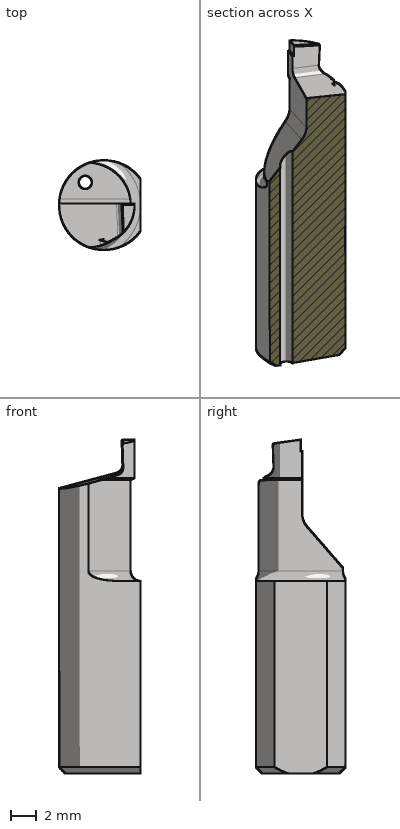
import cadquery as cq
import math

SHANK_DIA = 7.0
SHANK_R = SHANK_DIA / 2
FLAT_X = 2.85
SHANK_CHAMFER = 0.5
TOTAL_HEIGHT = 26.0

NECK_AXIS_X = -1.2
NECK_R = math.sqrt(SHANK_R**2 - NECK_AXIS_X**2)
NECK_FILLET_R = FLAT_X - NECK_AXIS_X - NECK_R
SHOULDER_Z = 15.0

FACE_Y = 0.12
RAMP_START_Z = 19.66
RAMP_ANGLE = 41.0
RAMP_FILLET_R = 1.5

HEAD_AXIS_X = -0.63
HEAD_R = 3.02
HEAD_Z = 23.0
HEAD_CONE_HEIGHT = 0.15
HEAD_CONE_WIDTH = 0.3
NECK_TOP_Z = HEAD_Z - HEAD_CONE_HEIGHT
TIP_FACE_Y = 0.0
TIP_FACE_Z = 25.1
TOP_RELIEF_ANGLE = 8.0
TIP_CHAMFER = 0.1

WALL_X = 1.45
FLOOR_Z = 23.54
FLOOR_ANGLE = 15.0
WALL_LEAN = 2.0
CORNER_R = 0.6
WALL_SIDE_RELIEF = 2.0
FLOOR_SIDE_RELIEF = 3.75

HOLE_DIA = 1.0
HOLE_X = -1.45
HOLE_Y = 1.77

MARGIN = 4.0


def tan_deg(angle):
    return math.tan(math.radians(angle))


def box_between(low, high):
    """Axis-aligned box given two opposite corners."""
    size = [b - a for a, b in zip(low, high)]
    return cq.Workplane("XY").box(*size, centered=False).translate(low)


def make_shank():
    """Full-height round bar with the end chamfer and the side flat."""
    bar = cq.Workplane("XY").circle(SHANK_R).extrude(TOTAL_HEIGHT)
    bar = bar.faces("<Z").chamfer(SHANK_CHAMFER)
    beyond_flat = box_between(
        (FLAT_X, -SHANK_DIA, -MARGIN),
        (FLAT_X + MARGIN, SHANK_DIA, TOTAL_HEIGHT + MARGIN),
    )
    return bar.cut(beyond_flat)


def neck_relief():
    """Half ring around the neck axis, with the root fillet at its lower inner edge."""
    outer_r = NECK_R + MARGIN
    top = TOTAL_HEIGHT + MARGIN
    diagonal = NECK_FILLET_R * (1 - math.sqrt(0.5))
    profile = (
        cq.Workplane("XZ", origin=(NECK_AXIS_X, 0, 0))
        .moveTo(NECK_R, top)
        .lineTo(NECK_R, SHOULDER_Z + NECK_FILLET_R)
        .threePointArc(
            (NECK_R + diagonal, SHOULDER_Z + diagonal),
            (NECK_R + NECK_FILLET_R, SHOULDER_Z),
        )
        .lineTo(outer_r, SHOULDER_Z)
        .lineTo(outer_r, top)
        .close()
    )
    ring = profile.revolve(360, (0, 0, 0), (0, 1, 0))
    plus_x_half = box_between((NECK_AXIS_X, -2 * outer_r, 0), (NECK_AXIS_X + outer_r, 2 * outer_r, top))
    return ring.intersect(plus_x_half)


def above_neck():
    """Stock over the flat top of the neck, on the +X side, where the head stands instead."""
    return box_between(
        (HEAD_AXIS_X, -SHANK_DIA, NECK_TOP_Z),
        (SHANK_DIA, SHANK_DIA, TOTAL_HEIGHT + MARGIN),
    )


def make_head():
    """Round head blank on its own axis, with the conical underside."""
    blank = (
        cq.Workplane("XY", origin=(HEAD_AXIS_X, 0, NECK_TOP_Z))
        .circle(HEAD_R)
        .extrude(TOTAL_HEIGHT - NECK_TOP_Z)
        .faces("<Z")
        .chamfer(HEAD_CONE_HEIGHT, HEAD_CONE_WIDTH)
    )
    axis_start = (HEAD_AXIS_X, 0, 0)
    axis_end = (HEAD_AXIS_X, 0, 1)
    return blank.rotate(axis_start, axis_end, 180)


def half_relief():
    """Everything beyond the rake face and above the ramp, on the +Y side."""
    reach = SHANK_R + MARGIN
    top = TOTAL_HEIGHT + MARGIN
    ramp_end_z = RAMP_START_Z - (reach - FACE_Y) / tan_deg(RAMP_ANGLE)
    prism = (
        cq.Workplane("YZ", origin=(-SHANK_DIA, 0, 0))
        .moveTo(FACE_Y, top)
        .lineTo(FACE_Y, RAMP_START_Z)
        .lineTo(reach, ramp_end_z)
        .lineTo(reach, top)
        .close()
        .extrude(2 * SHANK_DIA)
    )
    ramp_corner = cq.selectors.NearestToPointSelector((0, FACE_Y, RAMP_START_Z))
    return prism.edges(ramp_corner).fillet(RAMP_FILLET_R)


def tip_face_relief():
    """Thin slice that sets the tip rake face back to the shank axis."""
    return box_between(
        (-SHANK_DIA, TIP_FACE_Y, TIP_FACE_Z),
        (SHANK_DIA, SHANK_DIA, TOTAL_HEIGHT + MARGIN),
    )


def head_clearance():
    """Skewed prism above the floor and beside the wall; its skew gives both side reliefs."""
    top = TOTAL_HEIGHT + MARGIN
    far_x = -SHANK_R - MARGIN
    outline = (
        cq.Workplane("XZ", origin=(0, FACE_Y, 0))
        .moveTo(WALL_X, FLOOR_Z)
        .lineTo(WALL_X - (top - FLOOR_Z) * tan_deg(WALL_LEAN), top)
        .lineTo(far_x, top)
        .lineTo(far_x, FLOOR_Z - (WALL_X - far_x) * tan_deg(FLOOR_ANGLE))
        .close()
    )
    direction = cq.Vector(tan_deg(WALL_SIDE_RELIEF), -1, -tan_deg(FLOOR_SIDE_RELIEF))
    sweep = direction * SHANK_DIA
    prism = cq.Workplane(obj=cq.Solid.extrudeLinear(outline.val(), [], sweep))
    corner_middle = cq.Vector(WALL_X, FACE_Y, FLOOR_Z) + sweep * 0.5
    corner = cq.selectors.NearestToPointSelector(corner_middle.toTuple())
    return prism.edges(corner).fillet(CORNER_R)


def end_relief():
    """Wedge above the end face, which falls from the tip toward -Y."""
    drop = SHANK_DIA * tan_deg(TOP_RELIEF_ANGLE)
    return (
        cq.Workplane("YZ", origin=(-SHANK_DIA, 0, 0))
        .moveTo(TIP_FACE_Y, TOTAL_HEIGHT)
        .lineTo(TIP_FACE_Y - SHANK_DIA, TOTAL_HEIGHT - drop)
        .lineTo(TIP_FACE_Y - SHANK_DIA, TOTAL_HEIGHT + MARGIN)
        .lineTo(TIP_FACE_Y, TOTAL_HEIGHT + MARGIN)
        .close()
        .extrude(2 * SHANK_DIA)
    )


def chamfer_tip(body):
    """Small chamfer along the edge between the end face and the wall."""
    edge_x = WALL_X - (TOTAL_HEIGHT - FLOOR_Z) * tan_deg(WALL_LEAN)
    wall_length = math.sqrt(HEAD_R**2 - (edge_x - HEAD_AXIS_X) ** 2)
    to_middle = wall_length / 2
    edge_y = TIP_FACE_Y - to_middle
    edge_z = TOTAL_HEIGHT - to_middle * tan_deg(TOP_RELIEF_ANGLE)
    inner_edge = cq.selectors.NearestToPointSelector((edge_x, edge_y, edge_z))
    return body.edges(inner_edge).chamfer(TIP_CHAMFER)


def coolant_hole():
    """Through hole parallel to the shank axis."""
    return cq.Workplane("XY").center(HOLE_X, HOLE_Y).circle(HOLE_DIA / 2).extrude(TOTAL_HEIGHT)


result = make_shank().cut(neck_relief()).cut(above_neck()).union(make_head())
for relief in (half_relief(), tip_face_relief(), head_clearance(), end_relief(), coolant_hole()):
    result = result.cut(relief)
result = chamfer_tip(result)